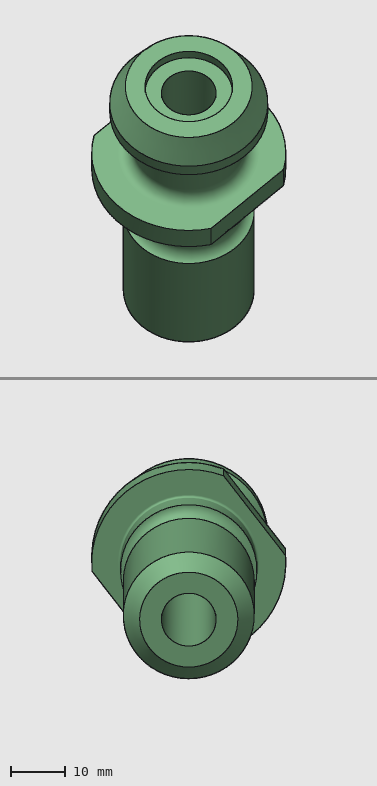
import cadquery as cq
import math

total_height = 65.4
bore_radius = 10.0 / 2
counterbore_radius = 16.0 / 2
counterbore_depth = 1.95

shank_radius = 24.0 / 2
end_chamfer = 3.0
shank_top = 27.15
groove_radius = 20.0 / 2
spigot_radius = 25.0 / 2
fillet_radius = spigot_radius - groove_radius

spigot_bottom = 35.0
spigot_fillet = 0.45

flange_radius = 35.6 / 2
flange_bottom = 40.15
flange_thickness = 5.0
flange_top = flange_bottom + flange_thickness
flat_width = 30.15

neck_radius = 20.8 / 2
head_radius = 29.0 / 2
head_cone_height = 5.0
head_cone_angle = math.radians(30)
head_band_height = 2.6
head_top_radius = head_radius - head_cone_height * math.tan(head_cone_angle)
band_top = total_height - head_cone_height
band_bottom = band_top - head_band_height

shank_arc_angle = math.acos((spigot_radius - shank_radius) / fillet_radius)
groove_arc_bottom = shank_top + fillet_radius * math.sin(shank_arc_angle)

under_angle = math.radians(45)
under_arc_radius = neck_radius + fillet_radius * (1 - math.cos(under_angle))
under_arc_top = band_bottom - (head_radius - under_arc_radius) * math.tan(under_angle)
neck_top = under_arc_top - fillet_radius * math.sin(under_angle)


def arc_point(center_radius, center_z, radius, angle):
    """Point on a concave arc, at an angle measured from the inward radial direction."""
    return (center_radius - radius * math.cos(angle), center_z + radius * math.sin(angle))


neck_center_radius = neck_radius + fillet_radius
neck_bottom = flange_top + fillet_radius
groove_arc_top = spigot_bottom - fillet_radius
spigot_center_radius = spigot_radius + spigot_fillet
spigot_top = flange_bottom - spigot_fillet
quarter_middle = math.radians(45)

profile = (
    cq.Workplane("XZ")
    .moveTo(0, 0)
    .lineTo(shank_radius - end_chamfer, 0)
    .lineTo(shank_radius, end_chamfer)
    .lineTo(shank_radius, shank_top)
    .threePointArc(
        arc_point(spigot_radius, groove_arc_bottom, fillet_radius, -shank_arc_angle / 2),
        (groove_radius, groove_arc_bottom),
    )
    .lineTo(groove_radius, groove_arc_top)
    .threePointArc(
        arc_point(spigot_radius, groove_arc_top, fillet_radius, quarter_middle),
        (spigot_radius, spigot_bottom),
    )
    .lineTo(spigot_radius, spigot_top)
    .threePointArc(
        arc_point(spigot_center_radius, spigot_top, spigot_fillet, quarter_middle),
        (spigot_center_radius, flange_bottom),
    )
    .lineTo(flange_radius, flange_bottom)
    .lineTo(flange_radius, flange_top)
    .lineTo(neck_center_radius, flange_top)
    .threePointArc(
        arc_point(neck_center_radius, neck_bottom, fillet_radius, -quarter_middle),
        (neck_radius, neck_bottom),
    )
    .lineTo(neck_radius, neck_top)
    .threePointArc(
        arc_point(neck_center_radius, neck_top, fillet_radius, under_angle / 2),
        (under_arc_radius, under_arc_top),
    )
    .lineTo(head_radius, band_bottom)
    .lineTo(head_radius, band_top)
    .lineTo(head_top_radius, total_height)
    .lineTo(0, total_height)
    .close()
)
stud = profile.revolve(360, (0, 0), (0, 1))

flats_envelope = cq.Workplane("XY").box(
    flat_width, 2 * flange_radius, total_height, centered=(True, True, False)
)
stud = stud.intersect(flats_envelope)

bore = cq.Workplane("XY").circle(bore_radius).extrude(total_height)
counterbore = (
    cq.Workplane("XY")
    .workplane(offset=total_height - counterbore_depth)
    .circle(counterbore_radius)
    .extrude(counterbore_depth)
)

result = stud.cut(bore).cut(counterbore)